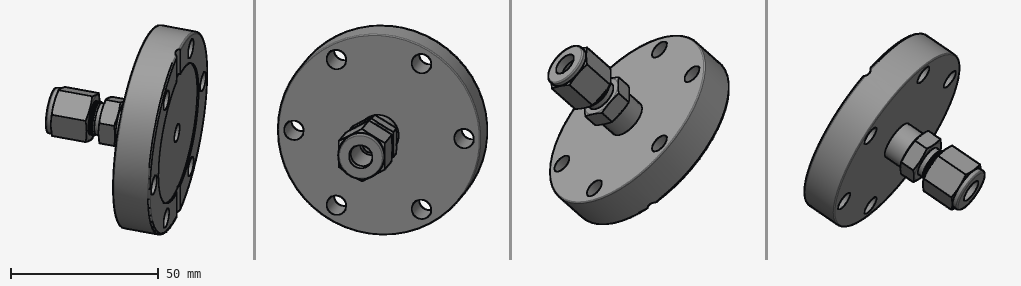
import cadquery as cq
import math


FLANGE_DIAMETER = 70.0
FLANGE_THICKNESS = 13.0
FITTING_SIDE_FILLET = 0.4
SEAL_SIDE_FILLET = 0.6
BOLT_COUNT = 6
BOLT_CIRCLE_DIAMETER = 58.7
BOLT_HOLE_DIAMETER = 6.7
SEAL_RECESS_DIAMETER = 48.3
SEAL_RECESS_DEPTH = 0.55
LEAK_GROOVE_RADIUS = 2.5
LEAK_GROOVE_DEPTH = 1.05

TUBE_DIAMETER = 8.0
BORE_DIAMETER = 6.4
SHOULDER_DIAMETER = 13.7
SHOULDER_LENGTH = 7.2
BODY_HEX_ACROSS_FLATS = 15.1
BODY_HEX_LENGTH = 5.9
NECK_DIAMETER = 10.95
NECK_LENGTH = 2.0
THREAD_DIAMETER = 11.72
THREAD_DEPTH = 0.3
THREAD_CHAMFER_LENGTH = 0.6
VISIBLE_THREAD_GROOVES = 2

NUT_HEX_ACROSS_FLATS = 15.88
NUT_HEX_LENGTH = 12.65
NUT_COLLAR_DIAMETER = 15.8
NUT_COLLAR_LENGTH = 1.95
NUT_COLLAR_FILLET = 0.5
NUT_END_WALL = 3.1

HEX_CHAMFER_ANGLE = 15.0
HEX_FACE_REDUCTION = 0.3

NUT_FACE_X = -31.7
NUT_HEX_X = NUT_FACE_X + NUT_COLLAR_LENGTH
NUT_OPEN_X = NUT_HEX_X + NUT_HEX_LENGTH
BODY_TIP_X = NUT_FACE_X + NUT_END_WALL
BODY_HEX_END_X = -SHOULDER_LENGTH
BODY_HEX_X = BODY_HEX_END_X - BODY_HEX_LENGTH
THREAD_END_X = BODY_HEX_X - NECK_LENGTH
THREAD_CHAMFER_X = THREAD_END_X - THREAD_CHAMFER_LENGTH
THREAD_PITCH = (THREAD_CHAMFER_X - NUT_OPEN_X) / VISIBLE_THREAD_GROOVES


def cylinder(diameter, start_x, end_x):
    """Cylinder on the X axis between two stations."""
    return cq.Workplane("YZ", origin=(start_x, 0, 0)).circle(diameter / 2).extrude(end_x - start_x)


def chamfered_hex(across_flats, start_x, end_x):
    """Hexagonal prism with two corners on the Z axis and turned chamfers at both ends."""
    across_corners = across_flats / math.cos(math.radians(30))
    corner_radius = across_corners / 2
    face_radius = (across_flats - HEX_FACE_REDUCTION) / 2
    drop = (corner_radius - face_radius) * math.tan(math.radians(HEX_CHAMFER_ANGLE))
    prism = (
        cq.Workplane("YZ", origin=(start_x, 0, 0))
        .transformed(rotate=(0, 0, 90))
        .polygon(6, across_corners)
        .extrude(end_x - start_x)
    )
    envelope = (
        cq.Workplane("XY")
        .moveTo(start_x, 0)
        .lineTo(start_x, face_radius)
        .lineTo(start_x + drop, corner_radius)
        .lineTo(end_x - drop, corner_radius)
        .lineTo(end_x, face_radius)
        .lineTo(end_x, 0)
        .close()
        .revolve(360, (0, 0, 0), (1, 0, 0))
    )
    return prism.intersect(envelope)


def make_flange_disc():
    """Filleted disc with bolt holes, seal recess and two leak-check grooves."""
    disc = cylinder(FLANGE_DIAMETER, 0, FLANGE_THICKNESS)
    disc = disc.faces("<X").edges().fillet(FITTING_SIDE_FILLET)
    disc = disc.faces(">X").edges().fillet(SEAL_SIDE_FILLET)

    bolt_holes = (
        cq.Workplane("YZ")
        .polarArray(BOLT_CIRCLE_DIAMETER / 2, 0, 360, BOLT_COUNT)
        .circle(BOLT_HOLE_DIAMETER / 2)
        .extrude(FLANGE_THICKNESS)
    )
    recess = cylinder(SEAL_RECESS_DIAMETER, FLANGE_THICKNESS - SEAL_RECESS_DEPTH, FLANGE_THICKNESS)
    disc = disc.cut(bolt_holes).cut(recess)

    groove_axis_x = FLANGE_THICKNESS - LEAK_GROOVE_DEPTH + LEAK_GROOVE_RADIUS
    grooves = (
        cq.Workplane("XY", origin=(groove_axis_x, 0, 0))
        .circle(LEAK_GROOVE_RADIUS)
        .extrude(FLANGE_DIAMETER / 2, both=True)
        .cut(cylinder(SEAL_RECESS_DIAMETER, 0, 2 * FLANGE_THICKNESS))
    )
    return disc.cut(grooves)


def make_thread():
    """Threaded end with a conical run-out and ring grooves between the nut and the neck."""
    thread_radius = THREAD_DIAMETER / 2
    profile = (
        cq.Workplane("XY")
        .moveTo(BODY_TIP_X, 0)
        .lineTo(BODY_TIP_X, thread_radius)
        .lineTo(NUT_OPEN_X, thread_radius)
    )
    for index in range(VISIBLE_THREAD_GROOVES):
        groove_start_x = NUT_OPEN_X + index * THREAD_PITCH
        profile = (
            profile.lineTo(groove_start_x + THREAD_PITCH / 2, thread_radius - THREAD_DEPTH)
            .lineTo(groove_start_x + THREAD_PITCH, thread_radius)
        )
    return (
        profile.lineTo(THREAD_END_X, NECK_DIAMETER / 2)
        .lineTo(THREAD_END_X, 0)
        .close()
        .revolve(360, (0, 0, 0), (1, 0, 0))
    )


def make_flange_with_fitting():
    """Flange and fitting body as one solid with the tube socket and the through bore."""
    return (
        make_flange_disc()
        .union(cylinder(SHOULDER_DIAMETER, BODY_HEX_END_X, 0))
        .union(chamfered_hex(BODY_HEX_ACROSS_FLATS, BODY_HEX_X, BODY_HEX_END_X))
        .union(cylinder(NECK_DIAMETER, THREAD_END_X, BODY_HEX_X))
        .union(make_thread())
        .cut(cylinder(TUBE_DIAMETER, BODY_TIP_X, BODY_HEX_X))
        .cut(cylinder(BORE_DIAMETER, BODY_HEX_X, FLANGE_THICKNESS))
    )


def make_nut():
    """Union nut: round collar, hexagon, tube hole and a cavity filled by the threaded end."""
    collar = cylinder(NUT_COLLAR_DIAMETER, NUT_FACE_X, NUT_HEX_X)
    collar = collar.faces("<X").edges().fillet(NUT_COLLAR_FILLET)
    return (
        collar.union(chamfered_hex(NUT_HEX_ACROSS_FLATS, NUT_HEX_X, NUT_OPEN_X))
        .cut(cylinder(TUBE_DIAMETER, NUT_FACE_X, BODY_TIP_X))
        .cut(cylinder(THREAD_DIAMETER, BODY_TIP_X, NUT_OPEN_X))
    )


flange_with_fitting = make_flange_with_fitting()
nut = make_nut()
result = cq.Compound.makeCompound([flange_with_fitting.val(), nut.val()])